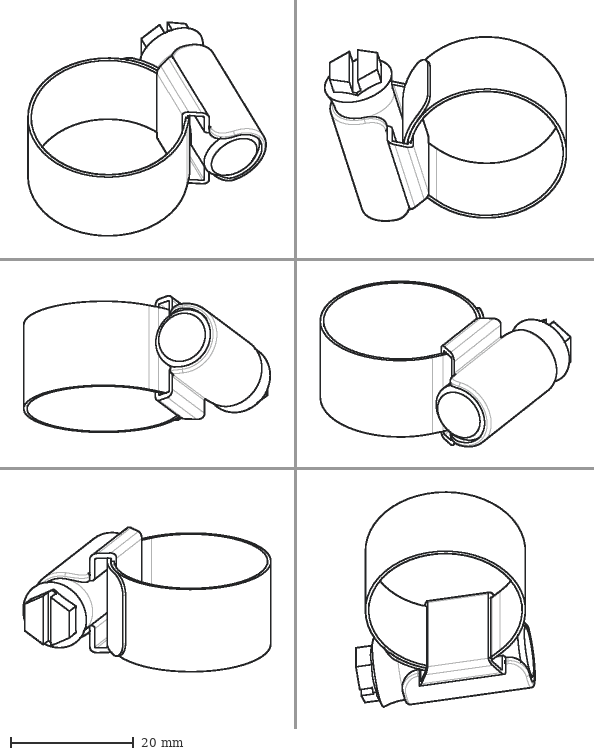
import cadquery as cq
import math


band_outer_radius = 13.05
band_thickness = 0.55
band_width = 14.32
lap_gap = 0.05
tail_end_angle = 150.0
inner_end_angle = 105.0
transition_angle = 55.5
tail_corner_radius = 2.95

screw_axis_y = 17.8
shank_radius = 4.95
collar_radius = 5.65
collar_face_radius = 4.0
collar_flare_radius = 11.4
collar_face_x = -15.02
collar_rim_x = -14.4
hex_across_flats = 8.0
hex_end_x = -17.45
slot_width = 1.35
slot_depth = 2.1
tip_chamfer_length = 0.95
tip_chamfer_depth = 0.88

housing_length = 20.95
housing_radius = 5.88
rim_fillet = 0.48
crease_fillet = 0.2
bend_fillet = 0.48
loop_top_y = 14.85
loop_bottom_y = 11.02
loop_height = 17.3
plate_thickness = 0.75
side_thickness = 0.88
loop_top_length = 14.32
loop_bottom_length = 10.05
loop_top_fillet = 1.1
loop_bottom_fillet = 0.88
loop_inner_fillet = 0.22

tail_inner_radius = band_outer_radius + lap_gap
tail_outer_radius = tail_inner_radius + band_thickness
half_length = housing_length / 2
skirt_corner_radius = screw_axis_y - loop_top_y


def polar(radius, angle, centre_y=0.0):
    """Point at an angle on a circle centred on the Y axis."""
    turn = math.radians(angle)
    return (radius * math.cos(turn), centre_y + radius * math.sin(turn))


def extrude_mid(profile, width):
    """Extrude an XY profile symmetrically about Z = 0."""
    return profile.extrude(width / 2, both=True)


def make_band():
    """One strip: tail over the top, straight run down to the ring, and the ring back under the tail."""
    ring_inner_radius = band_outer_radius - band_thickness
    rise = tail_outer_radius - band_outer_radius
    crown_centre_y = rise / (1 - math.sin(math.radians(transition_angle)))
    crown_outer_radius = tail_outer_radius - crown_centre_y
    crown_inner_radius = crown_outer_radius - band_thickness
    tail_mid_angle = (tail_end_angle + 90) / 2
    crown_mid_angle = (90 + transition_angle) / 2
    ring_mid_angle = (transition_angle + inner_end_angle) / 2 + 180

    profile = (
        cq.Workplane("XY")
        .moveTo(*polar(tail_outer_radius, tail_end_angle))
        .threePointArc(polar(tail_outer_radius, tail_mid_angle), polar(tail_outer_radius, 90))
        .threePointArc(
            polar(crown_outer_radius, crown_mid_angle, crown_centre_y),
            polar(crown_outer_radius, transition_angle, crown_centre_y),
        )
        .lineTo(*polar(band_outer_radius, transition_angle))
        .threePointArc(
            polar(band_outer_radius, ring_mid_angle), polar(band_outer_radius, inner_end_angle)
        )
        .lineTo(*polar(ring_inner_radius, inner_end_angle))
        .threePointArc(
            polar(ring_inner_radius, ring_mid_angle), polar(ring_inner_radius, transition_angle)
        )
        .lineTo(*polar(crown_inner_radius, transition_angle, crown_centre_y))
        .threePointArc(
            polar(crown_inner_radius, crown_mid_angle, crown_centre_y), polar(tail_inner_radius, 90)
        )
        .threePointArc(polar(tail_inner_radius, tail_mid_angle), polar(tail_inner_radius, tail_end_angle))
        .close()
    )
    strip = extrude_mid(profile, band_width)
    tail_corners = strip.edges(cq.selectors.BoxSelector(*tail_corner_box()))
    return tail_corners.fillet(tail_corner_radius)


def tail_corner_box():
    """Two opposite corners of a box around the middle of the tail's end edges."""
    x, y = polar((tail_inner_radius + tail_outer_radius) / 2, tail_end_angle)
    reach = band_thickness / 4
    return (x - reach, y - reach, -band_width), (x + reach, y + reach, band_width)


def make_screw():
    """Slotted hexagon head, flared collar and plain shank, with room for the band underneath."""
    shank_start_x = -half_length
    flare_mid_x = (collar_rim_x + shank_start_x) / 2
    flare_rise = (shank_start_x - flare_mid_x) ** 2 / (2 * collar_flare_radius)
    body = (
        cq.Workplane("XY")
        .moveTo(collar_face_x, 0)
        .lineTo(collar_face_x, collar_face_radius)
        .lineTo(collar_rim_x, collar_radius)
        .threePointArc((flare_mid_x, shank_radius + flare_rise), (shank_start_x, shank_radius))
        .lineTo(half_length - tip_chamfer_length, shank_radius)
        .lineTo(half_length, shank_radius - tip_chamfer_depth)
        .lineTo(half_length, 0)
        .close()
        .revolve(360, (0, 0, 0), (1, 0, 0))
    )
    hexagon = (
        cq.Workplane("YZ", origin=(hex_end_x, 0, 0))
        .polygon(6, hex_across_flats, circumscribed=True)
        .extrude(collar_rim_x - hex_end_x)
    )
    slot = cq.Workplane("XY").box(2 * slot_depth, slot_width, 2 * hex_across_flats)
    screw = body.union(hexagon).cut(slot.translate((hex_end_x, 0, 0)))
    band_room = extrude_mid(cq.Workplane("XY").circle(tail_outer_radius), band_width)
    return screw.translate((0, screw_axis_y, 0)).cut(band_room)


def make_saddle():
    """Half-round cover over the screw, its skirts rounded off at both ends."""
    tube = (
        cq.Workplane("YZ", origin=(-half_length, screw_axis_y, 0))
        .circle(housing_radius)
        .extrude(housing_length)
    )
    crown_y = screw_axis_y + 2 * housing_radius
    corner_x = half_length - skirt_corner_radius
    diagonal = skirt_corner_radius * math.sqrt(0.5)
    outline = (
        cq.Workplane("XY")
        .moveTo(-half_length, crown_y)
        .lineTo(-half_length, screw_axis_y)
        .threePointArc((-corner_x - diagonal, screw_axis_y - diagonal), (-corner_x, loop_top_y))
        .lineTo(corner_x, loop_top_y)
        .threePointArc((corner_x + diagonal, screw_axis_y - diagonal), (half_length, screw_axis_y))
        .lineTo(half_length, crown_y)
        .close()
    )
    saddle = tube.intersect(extrude_mid(outline, 2 * housing_radius))
    end_edges = saddle.edges("%CIRCLE or %BSPLINE")
    return end_edges.fillet(rim_fillet)


def make_loop():
    """Rectangular loop around the band, tapering in length towards its bottom plate."""
    depth = loop_top_y - loop_bottom_y
    mid_y = (loop_top_y + loop_bottom_y) / 2
    block = (
        cq.Workplane("XY")
        .box(loop_top_length, depth, loop_height)
        .edges("|X and >Y")
        .fillet(loop_top_fillet)
        .edges("|X and <Y")
        .fillet(loop_bottom_fillet)
    )
    opening = (
        cq.Workplane("XY")
        .box(loop_top_length, depth - 2 * plate_thickness, loop_height - 2 * side_thickness)
        .edges("|X")
        .fillet(loop_inner_fillet)
    )
    trapezoid = (
        cq.Workplane("XY")
        .moveTo(-loop_top_length / 2, depth / 2)
        .lineTo(loop_top_length / 2, depth / 2)
        .lineTo(loop_bottom_length / 2, -depth / 2)
        .lineTo(-loop_bottom_length / 2, -depth / 2)
        .close()
    )
    loop = block.cut(opening).intersect(extrude_mid(trapezoid, loop_height))
    return loop.translate((0, mid_y, 0))


def make_crease_fillets():
    """Concave fillets filling the crease between the saddle and the top plate, on both sides."""
    crease_z = math.sqrt(housing_radius ** 2 - skirt_corner_radius ** 2)
    centre_y = loop_top_y + crease_fillet
    drop = screw_axis_y - centre_y
    centre_z = math.sqrt((housing_radius + crease_fillet) ** 2 - drop ** 2)
    shrink = housing_radius / (housing_radius + crease_fillet)
    saddle_touch = (screw_axis_y - drop * shrink, centre_z * shrink)
    plate_touch = (loop_top_y, centre_z)
    saddle_direction = math.atan2(saddle_touch[1] - centre_z, saddle_touch[0] - centre_y)
    mid_direction = (saddle_direction - math.pi) / 2
    arc_middle = (
        centre_y + crease_fillet * math.cos(mid_direction),
        centre_z + crease_fillet * math.sin(mid_direction),
    )
    filler = (
        cq.Workplane("YZ", origin=(-loop_top_length / 2, 0, 0))
        .moveTo(*plate_touch)
        .threePointArc(arc_middle, saddle_touch)
        .lineTo(screw_axis_y - skirt_corner_radius * shrink, crease_z * shrink)
        .lineTo(loop_top_y, crease_z * shrink)
        .close()
        .extrude(loop_top_length)
    )
    return filler.union(filler.mirror("XY"))


def make_housing(band):
    """Saddle and loop in one piece, bored for the screw and relieved where the band enters."""
    bore = (
        cq.Workplane("YZ", origin=(-half_length, screw_axis_y, 0))
        .circle(shank_radius)
        .extrude(housing_length)
    )
    shell = make_saddle().union(make_loop()).union(make_crease_fillets())
    shell = shell.cut(bore)
    underside_y = loop_top_y - plate_thickness
    lip_z = math.sqrt(shank_radius ** 2 - (screw_axis_y - underside_y) ** 2)
    for z in (-lip_z, lip_z):
        shell = shell.edges(cq.NearestToPointSelector((0, underside_y, z))).fillet(bend_fillet)
    return shell.cut(band)


band = make_band()
screw = make_screw()
housing = make_housing(band)

result = cq.Compound.makeCompound([band.val(), screw.val(), housing.val()])